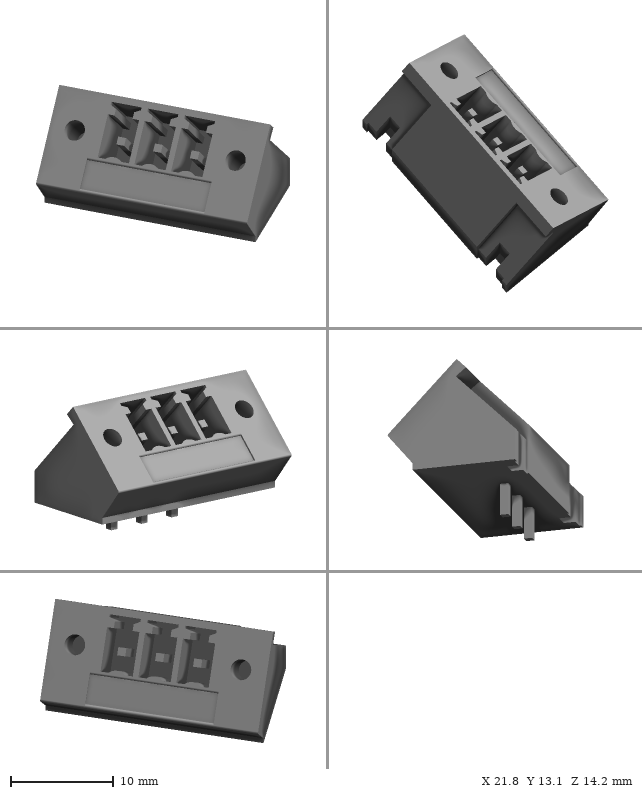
import cadquery as cq
import math


length = 21.82
half_length = length / 2
rear_height = 5.0
apex_height = 11.0
apex_y = rear_height - apex_height
face_length = 10.12
base_front_y = -10.54
base_step_height = 0.68
nose_radius = 0.2

axis_below_apex = 4.17
cos45 = math.sqrt(0.5)
face_origin_y = apex_y - axis_below_apex * cos45
face_origin_z = apex_height - axis_below_apex * cos45
face_plane = cq.Plane(
    origin=(0, face_origin_y, face_origin_z), xDir=(1, 0, 0), normal=(0, -1, 1)
)

pitch = 3.8
contact_count = 3
contact_xs = [(i - (contact_count - 1) / 2) * pitch for i in range(contact_count)]

chamber_depth = 6.55
body_half_width = 1.61
body_bottom = -2.23
body_top = 2.18
waist_half_width = 0.94
waist_top = 2.85
flare_half_width = 1.57
flare_bottom = 3.19
flare_top = 3.47
rib_half_width = 0.83
rib_height = 0.33

block_width = 12.87
block_half_width = block_width / 2
panel_top = -2.42
lip_radius = nose_radius

corner_rear_z = 3.23
corner_inner_y = -6.09
corner_inner_z = 9.2
corner_upper_y = -5.05
corner_upper_z = apex_height + apex_y - corner_upper_y
end_wall = 0.65
rear_relief_depth = 0.22

flange_x = 8.31
slot_width = 1.48
slot_front_y = -1.99
slot_base_y = -1.4
insert_diameter = 3.77
insert_bore = 2.05
insert_length = 5.45

pin_size = 0.8
pin_leg_y = -3.27
pin_drop = 3.2
pin_tip_depth = 1.2


def side_prism(points, x_start, width):
    """Extrude a (Y, Z) outline along +X from x_start."""
    return cq.Workplane("YZ", origin=(x_start, 0, 0)).polyline(points).close().extrude(width)


def mirrored_pair(shape):
    """The shape together with its mirror image at the other end."""
    return shape.union(shape.mirror("YZ"))


nose_y = apex_y - face_length * cos45
nose_z = apex_height - face_length * cos45
underside_angle = math.atan2(nose_z - base_step_height, base_front_y - nose_y)
nose_half_angle = (math.radians(45) + underside_angle) / 2
nose_tangent_length = nose_radius / math.tan(nose_half_angle)


def housing_blank():
    outline = [
        (0, 0),
        (0, rear_height),
        (apex_y, apex_height),
        (nose_y, nose_z),
        (base_front_y, base_step_height),
        (base_front_y, 0),
    ]
    blank = side_prism(outline, -half_length, length)
    return blank.edges(cq.selectors.NearestToPointSelector((0, nose_y, nose_z))).fillet(nose_radius)


def chamber(x):
    """One contact chamber, with a rounded rib left standing along its lower wall."""
    right_side = [
        (rib_half_width, body_bottom),
        (body_half_width, body_bottom),
        (body_half_width, body_top),
        (waist_half_width, body_top),
        (waist_half_width, waist_top),
        (flare_half_width, flare_bottom),
        (flare_half_width, flare_top),
    ]
    left_side = [(-across, up) for across, up in reversed(right_side)]
    return (
        cq.Workplane(face_plane)
        .center(x, 0)
        .polyline(right_side + left_side)
        .threePointArc((0, body_bottom + rib_height), right_side[0])
        .close()
        .extrude(-chamber_depth)
    )


def panel_recess():
    """Recess one lip radius deep; its lower lip runs smoothly into the rounded nose."""
    lip_bottom = axis_below_apex - face_length + nose_tangent_length
    arc_offset = lip_radius * cos45
    plane = cq.Plane(
        origin=(-block_half_width, face_origin_y, face_origin_z), xDir=(0, 1, 1), normal=(1, 0, 0)
    )
    return (
        cq.Workplane(plane)
        .moveTo(lip_bottom, 0)
        .threePointArc(
            (lip_bottom + arc_offset, arc_offset - lip_radius),
            (lip_bottom + lip_radius, -lip_radius),
        )
        .lineTo(panel_top - lip_radius, -lip_radius)
        .threePointArc((panel_top - arc_offset, arc_offset - lip_radius), (panel_top, 0))
        .close()
        .extrude(block_width)
    )


def rear_corners():
    """Rear corners cut away at both ends, leaving the middle block at full depth."""
    outline = [
        (0, corner_rear_z),
        (corner_inner_y, corner_inner_z),
        (corner_upper_y, corner_upper_z),
        (0, corner_upper_z),
    ]
    return mirrored_pair(side_prism(outline, block_half_width, half_length - block_half_width))


def rear_reliefs():
    """Shallow step in the rear face beside the middle block, inside each end wall."""
    outline = [(0, 0), (-rear_relief_depth, 0), (-rear_relief_depth, rear_height), (0, rear_height)]
    width = half_length - end_wall - block_half_width
    return mirrored_pair(side_prism(outline, block_half_width, width))


def rear_slots():
    """Upright slots open to the rear, with a 45 degree ledge at the base."""
    slot_top = apex_height + slot_front_y - apex_y
    outline = [
        (0, 0),
        (slot_base_y, 0),
        (slot_front_y, slot_base_y - slot_front_y),
        (slot_front_y, slot_top),
        (0, slot_top),
    ]
    return mirrored_pair(side_prism(outline, flange_x - slot_width / 2, slot_width))


def insert(x):
    """Threaded insert, flush with the plug face."""
    return (
        cq.Workplane(face_plane)
        .center(x, 0)
        .circle(insert_diameter / 2)
        .circle(insert_bore / 2)
        .extrude(-insert_length)
    )


def insert_seat(x):
    return cq.Workplane(face_plane).center(x, 0).circle(insert_diameter / 2).extrude(-insert_length)


def pin(x):
    """Square pin: an upright leg, then a 45 degree arm along the chamber axis."""
    half = pin_size / 2
    axis_z_at_rear = face_origin_z + face_origin_y
    arm_half_height = half / cos45
    front_y = pin_leg_y - half
    rear_y = pin_leg_y + half
    tip_y = face_origin_y + pin_tip_depth * cos45
    tip_z = face_origin_z - pin_tip_depth * cos45
    tip_offset = half * cos45
    outline = [
        (front_y, -pin_drop),
        (rear_y, -pin_drop),
        (rear_y, axis_z_at_rear - rear_y + arm_half_height),
        (tip_y + tip_offset, tip_z + tip_offset),
        (tip_y - tip_offset, tip_z - tip_offset),
        (front_y, axis_z_at_rear - front_y - arm_half_height),
    ]
    return side_prism(outline, x - half, pin_size)


pins = [pin(x) for x in contact_xs]
insert_xs = (-flange_x, flange_x)
inserts = [insert(x) for x in insert_xs]

housing = housing_blank().cut(panel_recess())
housing = housing.cut(rear_corners()).cut(rear_reliefs()).cut(rear_slots())
for x in contact_xs:
    housing = housing.cut(chamber(x))
for x in insert_xs:
    housing = housing.cut(insert_seat(x))
for contact in pins:
    housing = housing.cut(contact)

result = cq.Compound.makeCompound(
    [housing.val()] + [contact.val() for contact in pins] + [bush.val() for bush in inserts]
)